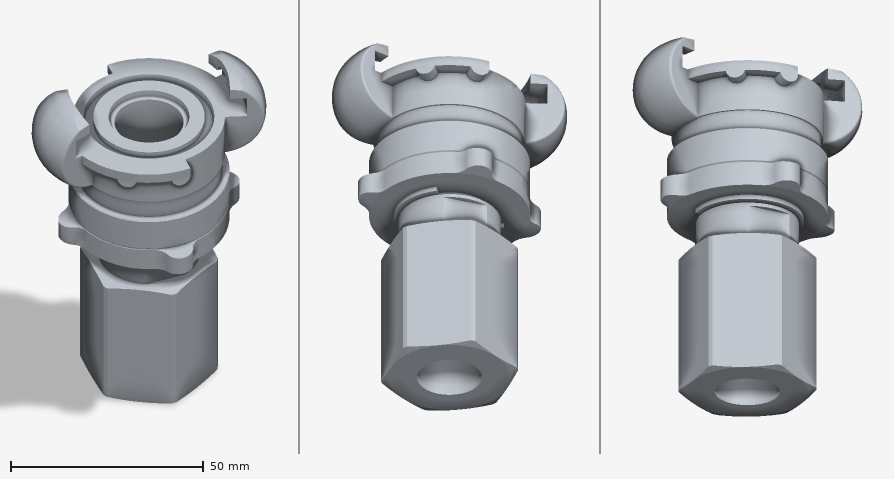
import cadquery as cq
import math

hex_top = 38.2
flats_bottom = 37.9
flats_top = 47.0
shank_top = 47.9
snap_ring_bottom = 48.4
lug_ring_bottom = 49.6
lug_ring_top = 56.1
band_bottom = 56.4
band_top = 65.9
collar_bottom = 71.6
flange_bottom = 81.2
face_top = 83.9
slot_top = 90.0
hook_top = 94.7

hex_flats = 31.8
hex_corners = 36
hex_face_radius = 15.8
hex_chamfer_drop = 0.62
shank_diameter = 26.8
shank_flat_distance = 24.0
core_diameter = 23.0
band_diameter = 42.0
band_chamfer = 0.3
neck_diameter = 38.4
collar_diameter = 39.5
flange_radius = 23.5

bore_diameter = 17.0
upper_bore_diameter = 18.0
seal_bore_diameter = 20.7
seal_bore_edge_diameter = 21.0
seal_bore_depth = 1.9
groove_inner_diameter = 29.0
groove_outer_diameter = 33.3
groove_edge_diameter = 34.0
groove_depth = 1.9

snap_ring_diameter = 29.3
snap_gap_start = 147
snap_gap_end = 265

lug_count = 4
lug_ring_radius = 20.9
lug_tip_radius = 25.0
lug_nose_radius = 3.8
lug_root_fillet = 4.2
lug_bevel_drop = 0.6

bump_radius = 2.6
bump_axis_height = 81.7
bump_angles = (180, 144.5)

hook_reach = 31.5
hook_plan_radius = 17.5
hook_section_radius = 11.75
hook_tip_radius = 21.0
hook_crest_distance = hook_reach - hook_section_radius
hook_center_height = hook_top - math.sqrt(
    hook_section_radius**2 - (hook_tip_radius - hook_crest_distance) ** 2
)
hook_slot_radius = 25.5
hook_root_radius = 18.0
hook_wedge_start = 16.1
hook_side_angle = 17.7
hook_side_offset = 1.4
hook_edge_fillet = 0.7
hook_roof_radius = 18.95
notch_center = -1.2
notch_half_width = 3.0
notch_height = 2.6


def cylinder(diameter, bottom, top):
    return cq.Workplane("XY").workplane(offset=bottom).circle(diameter / 2).extrude(top - bottom)


def frustum(bottom_diameter, top_diameter, bottom, top):
    return (
        cq.Workplane("XZ")
        .moveTo(0, bottom)
        .lineTo(bottom_diameter / 2, bottom)
        .lineTo(top_diameter / 2, top)
        .lineTo(0, top)
        .close()
        .revolve(360, (0, 0), (0, 1))
    )


def bevelled_disc(face_radius, outer_radius, bevel_drop, bottom, top):
    """Disc whose two faces slope back from face_radius to outer_radius."""
    return (
        cq.Workplane("XZ")
        .polyline([
            (0, bottom),
            (face_radius, bottom),
            (outer_radius, bottom + bevel_drop),
            (outer_radius, top - bevel_drop),
            (face_radius, top),
            (0, top),
        ])
        .close()
        .revolve(360, (0, 0), (0, 1))
    )


def with_opposite(shape):
    """Add the copy turned half a revolution about Z."""
    return shape.union(shape.rotate((0, 0, 0), (0, 0, 1), 180))


def hexagon():
    """Hexagon with flats facing Y, rounded corners and both ends bevelled."""
    prism = cq.Workplane("XY").polygon(6, hex_flats, circumscribed=True).extrude(hex_top)
    prism = prism.rotate((0, 0, 0), (0, 0, 1), 30)
    envelope = bevelled_disc(hex_face_radius, hex_corners / 2, hex_chamfer_drop, 0, hex_top)
    return prism.intersect(envelope)


def shank():
    """Round shank standing on the hexagon."""
    return cylinder(shank_diameter, hex_top, shank_top)


def shank_flats():
    """Segments removed beside the two X-facing flats, sunk slightly into the hexagon."""
    core = (
        cq.Workplane("XY")
        .workplane(offset=flats_bottom)
        .rect(shank_flat_distance, shank_diameter)
        .extrude(flats_top - flats_bottom)
    )
    return cylinder(shank_diameter, flats_bottom, flats_top).cut(core)


def snap_ring():
    """Ring with a wide gap on its -X side."""
    reach = snap_ring_diameter
    middle = (snap_gap_start + snap_gap_end) / 2
    corners = [(0, 0)]
    for angle in (snap_gap_start, middle, snap_gap_end):
        corners.append((reach * math.cos(math.radians(angle)), reach * math.sin(math.radians(angle))))
    gap = (
        cq.Workplane("XY")
        .workplane(offset=snap_ring_bottom)
        .polyline(corners)
        .close()
        .extrude(lug_ring_bottom - snap_ring_bottom)
    )
    return cylinder(snap_ring_diameter, snap_ring_bottom, lug_ring_bottom).cut(gap)


def lug_ring():
    """Ring with rounded lugs whose tops and bottoms slope outward."""
    ring = cylinder(2 * lug_ring_radius, lug_ring_bottom, lug_ring_top)
    noses = (
        cq.Workplane("XY")
        .workplane(offset=lug_ring_bottom)
        .polarArray(lug_tip_radius - lug_nose_radius, 0, 360, lug_count)
        .circle(lug_nose_radius)
        .extrude(lug_ring_top - lug_ring_bottom)
    )
    in_roots = cq.selectors.BoxSelector(
        (-lug_ring_radius, -lug_ring_radius, lug_ring_bottom),
        (lug_ring_radius, lug_ring_radius, lug_ring_top),
    )
    ring = ring.union(noses).edges("|Z").edges(in_roots).fillet(lug_root_fillet)
    envelope = bevelled_disc(lug_ring_radius, lug_tip_radius, lug_bevel_drop, lug_ring_bottom, lug_ring_top)
    return ring.intersect(envelope)


def flange_sector():
    """Quarter flange on the -X +Y side, with locking bumps under it."""
    blank_radius = flange_radius + bump_radius
    rim = cylinder(2 * blank_radius, flange_bottom, face_top)
    for angle in bump_angles:
        bump = (
            cq.Workplane("YZ")
            .center(0, bump_axis_height)
            .circle(bump_radius)
            .extrude(blank_radius)
            .rotate((0, 0, 0), (0, 0, 1), angle)
        )
        rim = rim.union(bump)
    sector = (
        cq.Workplane("XY")
        .workplane(offset=collar_bottom)
        .moveTo(0, -bump_radius)
        .lineTo(-flange_radius, -bump_radius)
        .lineTo(-flange_radius, flange_radius)
        .lineTo(0, flange_radius)
        .close()
        .extrude(face_top - collar_bottom)
    )
    return rim.intersect(cylinder(2 * flange_radius, collar_bottom, face_top)).intersect(sector)


def hook_half_width(distance):
    return hook_side_offset + distance * math.tan(math.radians(hook_side_angle))


def tip_notch():
    """Arched detent notch under the tip of the +Y hook."""
    return (
        cq.Workplane("XZ")
        .moveTo(notch_center - notch_half_width, slot_top)
        .threePointArc(
            (notch_center, slot_top + notch_height), (notch_center + notch_half_width, slot_top)
        )
        .close()
        .extrude(-hook_slot_radius)
    )


def hook():
    """Hook on the +Y side: a domed claw between two tapering sides."""
    crest_radius = hook_plan_radius - hook_section_radius
    dome = (
        cq.Workplane("XZ")
        .moveTo(0, -hook_section_radius)
        .lineTo(crest_radius, -hook_section_radius)
        .threePointArc((hook_plan_radius, 0), (crest_radius, hook_section_radius))
        .lineTo(0, hook_section_radius)
        .close()
        .revolve(360, (0, 0), (0, 1))
        .translate((0, hook_reach - hook_plan_radius, hook_center_height))
    )
    root_half = hook_half_width(hook_wedge_start)
    end_half = hook_half_width(hook_reach)
    wedge = (
        cq.Workplane("XY")
        .polyline([
            (-root_half, hook_wedge_start),
            (root_half, hook_wedge_start),
            (end_half, hook_reach),
            (-end_half, hook_reach),
        ])
        .close()
        .extrude(hook_top)
    )
    claw = dome.intersect(wedge)
    side_edges = cq.selectors.BoxSelector(
        (-end_half, hook_tip_radius, 0), (end_half, hook_reach, hook_top)
    )
    claw = claw.edges(side_edges).fillet(hook_edge_fillet)
    roof = (
        cq.Workplane("XZ")
        .center(0, hook_top - hook_roof_radius)
        .circle(hook_roof_radius)
        .extrude(-hook_reach)
    )
    claw = claw.intersect(roof)
    claw = claw.cut(cylinder(2 * hook_root_radius, 0, face_top))
    claw = claw.cut(cylinder(2 * hook_slot_radius, face_top, slot_top))
    claw = claw.cut(cylinder(2 * hook_tip_radius, face_top, hook_top))
    return claw.cut(tip_notch())


def body():
    band = cylinder(band_diameter, band_bottom, band_top).faces("<Z or >Z").chamfer(band_chamfer)
    parts = [
        hexagon(),
        shank(),
        cylinder(core_diameter, shank_top, band_bottom),
        snap_ring(),
        lug_ring(),
        cylinder(band_diameter - 2 * band_chamfer, lug_ring_top, band_bottom),
        band,
        cylinder(neck_diameter, band_top, collar_bottom),
        cylinder(collar_diameter, collar_bottom, face_top),
        with_opposite(flange_sector()),
        with_opposite(hook()),
    ]
    solid = parts[0]
    for part in parts[1:]:
        solid = solid.union(part)
    return solid


def bore():
    """Through bore, wider from the band upward, with a tapered seal seat on top."""
    ledge = face_top - seal_bore_depth
    return (
        cylinder(bore_diameter, 0, band_bottom)
        .union(cylinder(upper_bore_diameter, band_bottom, ledge))
        .union(frustum(seal_bore_diameter, seal_bore_edge_diameter, ledge, face_top))
    )


def seal_groove():
    """Ring groove in the top face with a tapered outer wall."""
    floor = face_top - groove_depth
    wall = frustum(groove_outer_diameter, groove_edge_diameter, floor, face_top)
    return wall.cut(cylinder(groove_inner_diameter, floor, face_top))


result = body().cut(shank_flats()).cut(bore()).cut(seal_groove())